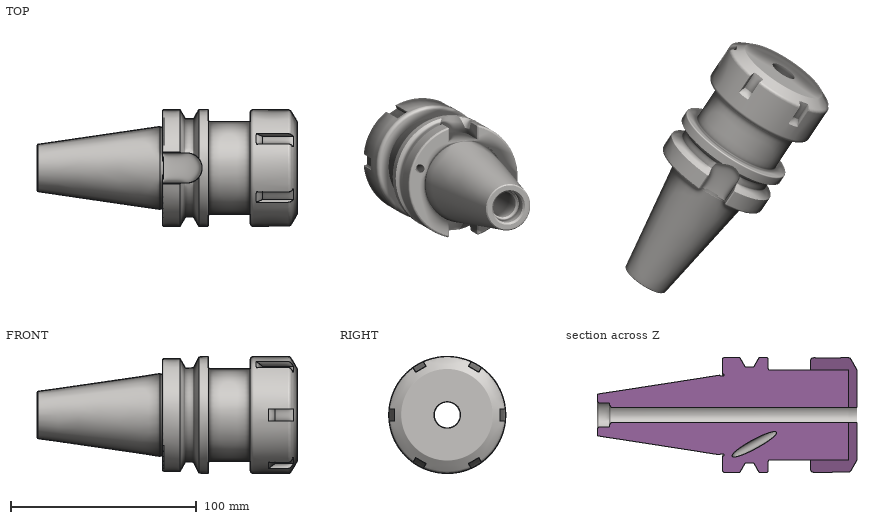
import cadquery as cq
import math


taper_length = 65.4
gauge_radius = 44.45 / 2
taper_ratio = 7 / 24
tail_radius = gauge_radius - taper_length * taper_ratio / 2
tail_chamfer = 0.5
undercut_start = 0.8
undercut_end = 2.7
undercut_floor_radius = 22.0
undercut_rim_radius = 22.8

outer_radius = 31.5
flange_start = 2.0
flange_end = 26.8
flange_edge_fillet = 1.0
flange_back_fillet = 0.7
groove_radius = 26.5
groove_floor_start = 14.4
groove_floor_end = 18.8
groove_corner_fillet = 0.5
groove_wall_angle = 30
groove_wall_run = (outer_radius - groove_radius) * math.tan(math.radians(groove_wall_angle))

slot_width = 16.1
slot_floor_height = 22.5
slot_end = 23.4
slot_edge_chamfer = 0.6

coolant_hole_diameter = 4.6
coolant_hole_circle_radius = 26.7
coolant_hole_tilt = 30
coolant_hole_angles = (20, 200)

neck_radius = 25.0
neck_fillet = 0.7
neck_end = 70.0

thread_radius = 7.0
thread_lead_radius = 8.0
thread_lead_length = 1.0
counterbore_radius = 8.5
counterbore_depth = 6.5
mouth_chamfer = 1.0

nut_start = 49.2
nut_end = 74.7
nut_back_fillet = 2.0
nut_front_fillet = 2.0
nut_nose_fillet = 0.4
nut_cone_start = 70.75
nut_cone_angle = 60
nut_face_radius = outer_radius - (nut_end - nut_cone_start) * math.tan(math.radians(nut_cone_angle))

wrench_slot_width = 6.4
wrench_slot_depth = 3.1
wrench_ramp_length = 3.5
long_slot_start = 52.4
short_slot_start = 59.0
wrench_slot_count = 6
long_slot_angles = (60, 120)

cut_margin = 1.0
match_tolerance = 0.001


def revolve_about_x(sketch):
    return sketch.close().revolve(360, (0, 0, 0), (1, 0, 0))


def fillet_ring(body, x, radius, fillet_radius):
    """Round the circular edge of the given radius that lies at x."""
    rings = [
        edge
        for edge in body.edges("%CIRCLE").vals()
        if math.isclose(edge.Center().x, x, abs_tol=match_tolerance)
        and math.isclose(edge.radius(), radius, abs_tol=match_tolerance)
    ]
    return body.newObject([body.val().fillet(fillet_radius, rings)])


def make_holder_blank():
    taper_end_radius = gauge_radius + undercut_start * taper_ratio / 2
    profile = (
        cq.Workplane("XY")
        .moveTo(-taper_length, 0)
        .lineTo(-taper_length, tail_radius - tail_chamfer)
        .lineTo(-taper_length + tail_chamfer, tail_radius + tail_chamfer * taper_ratio / 2)
        .lineTo(undercut_start, taper_end_radius)
        .lineTo(undercut_start, undercut_floor_radius)
        .lineTo(undercut_end, undercut_floor_radius)
        .lineTo(undercut_end, undercut_rim_radius)
        .lineTo(flange_start, undercut_rim_radius)
        .lineTo(flange_start, outer_radius - flange_edge_fillet)
        .radiusArc((flange_start + flange_edge_fillet, outer_radius), flange_edge_fillet)
        .lineTo(groove_floor_start - groove_wall_run, outer_radius)
        .lineTo(groove_floor_start, groove_radius)
        .lineTo(groove_floor_end, groove_radius)
        .lineTo(groove_floor_end + groove_wall_run, outer_radius)
        .lineTo(flange_end - flange_back_fillet, outer_radius)
        .radiusArc((flange_end, outer_radius - flange_back_fillet), flange_back_fillet)
        .lineTo(flange_end, neck_radius + neck_fillet)
        .radiusArc((flange_end + neck_fillet, neck_radius), -neck_fillet)
        .lineTo(neck_end, neck_radius)
        .lineTo(neck_end, 0)
    )
    blank = revolve_about_x(profile)
    blank = fillet_ring(blank, groove_floor_start, groove_radius, groove_corner_fillet)
    return fillet_ring(blank, groove_floor_end, groove_radius, groove_corner_fillet)


def make_holder_bore():
    counterbore_end = -taper_length + counterbore_depth
    profile = (
        cq.Workplane("XY")
        .moveTo(-taper_length, 0)
        .lineTo(-taper_length, counterbore_radius + mouth_chamfer)
        .lineTo(-taper_length + mouth_chamfer, counterbore_radius)
        .lineTo(counterbore_end, counterbore_radius)
        .lineTo(counterbore_end, thread_lead_radius)
        .lineTo(counterbore_end + thread_lead_length, thread_radius)
        .lineTo(neck_end, thread_radius)
        .lineTo(neck_end, 0)
    )
    return revolve_about_x(profile)


def make_drive_slot():
    """Round-ended slot open at the flange face, above the axis."""
    half_width = slot_width / 2
    arc_start = slot_end - half_width
    slot_height = outer_radius + cut_margin - slot_floor_height
    return (
        cq.Workplane("XY", origin=(0, 0, slot_floor_height))
        .moveTo(undercut_start, -half_width)
        .lineTo(arc_start, -half_width)
        .threePointArc((slot_end, 0), (arc_start, half_width))
        .lineTo(undercut_start, half_width)
        .close()
        .extrude(slot_height)
    )


def chamfer_drive_slots(holder):
    """Break the four straight edges where the slot walls meet the flange rim."""
    half_width = slot_width / 2
    edge_height = math.sqrt(outer_radius**2 - half_width**2)
    edge_x = (flange_start + groove_floor_start) / 2
    for side in (-1, 1):
        for level in (-1, 1):
            nearest = cq.selectors.NearestToPointSelector((edge_x, side * half_width, level * edge_height))
            holder = holder.edges("|X").edges(nearest).chamfer(slot_edge_chamfer)
    return holder


def make_coolant_hole(angle):
    """Hole entering the flange face on the +Y side and slanting towards the axis, then turned into place."""
    slope = math.tan(math.radians(coolant_hole_tilt))
    inner_end_radius = thread_radius / 2
    travel_in = cut_margin + (coolant_hole_circle_radius - inner_end_radius) / slope
    entry = cq.Vector(flange_start - cut_margin, coolant_hole_circle_radius + cut_margin * slope, 0)
    direction = cq.Vector(1, -slope, 0)
    length = travel_in * direction.Length
    hole = cq.Solid.makeCylinder(coolant_hole_diameter / 2, length, entry, direction)
    return hole.rotate(cq.Vector(0, 0, 0), cq.Vector(1, 0, 0), angle)


def make_holder():
    holder = make_holder_blank().cut(make_holder_bore())
    for slot_turn in (0, 180):
        holder = holder.cut(make_drive_slot().rotate((0, 0, 0), (1, 0, 0), slot_turn))
    holder = chamfer_drive_slots(holder)
    for angle in coolant_hole_angles:
        holder = holder.cut(make_coolant_hole(angle))
    return holder


def make_nut_blank():
    profile = (
        cq.Workplane("XY")
        .moveTo(nut_start, neck_radius)
        .lineTo(nut_start, outer_radius - nut_back_fillet)
        .radiusArc((nut_start + nut_back_fillet, outer_radius), nut_back_fillet)
        .lineTo(nut_cone_start, outer_radius)
        .lineTo(nut_end, nut_face_radius)
        .lineTo(nut_end, thread_radius)
        .lineTo(neck_end, thread_radius)
        .lineTo(neck_end, neck_radius)
    )
    blank = revolve_about_x(profile)
    blank = fillet_ring(blank, nut_cone_start, outer_radius, nut_front_fillet)
    return fillet_ring(blank, nut_end, nut_face_radius, nut_nose_fillet)


def make_wrench_slot(start, angle):
    """Slot with a ramp at its closed end, open through the nut's front cone."""
    floor_radius = outer_radius - wrench_slot_depth
    top_radius = outer_radius + cut_margin
    slot = (
        cq.Workplane("XY", origin=(0, 0, -wrench_slot_width / 2))
        .moveTo(start, top_radius)
        .lineTo(start, outer_radius)
        .lineTo(start + wrench_ramp_length, floor_radius)
        .lineTo(nut_end, floor_radius)
        .lineTo(nut_end, top_radius)
        .close()
        .extrude(wrench_slot_width)
    )
    return slot.rotate((0, 0, 0), (1, 0, 0), angle)


def make_nut():
    nut = make_nut_blank()
    for index in range(wrench_slot_count):
        angle = index * 360 // wrench_slot_count
        start = long_slot_start if angle in long_slot_angles else short_slot_start
        nut = nut.cut(make_wrench_slot(start, angle))
    return nut


holder = make_holder()
nut = make_nut()
result = cq.Compound.makeCompound([holder.solids().val(), nut.solids().val()])